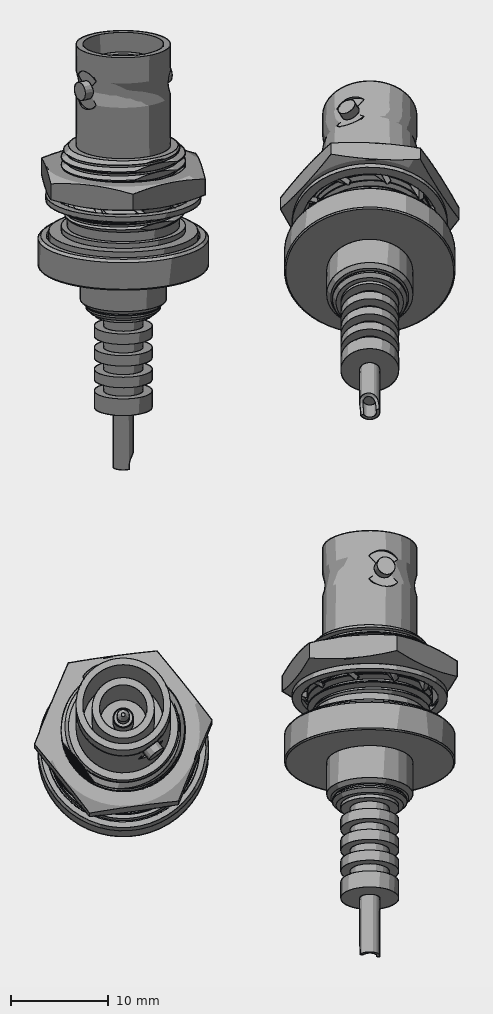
import cadquery as cq


joint_overlap = 0.1

barrel_radius = 9.65 / 2
barrel_bore_radius = 8.26 / 2
socket_floor_z = -9.0
sleeve_radius = 6.35 / 2
sleeve_bore_radius = 4.83 / 2
sleeve_top_z = -1.8

stud_z = -4.08
stud_radius = 1.92 / 2
stud_reach = 5.5
stud_flat_radius = 4.0 / 2
stud_flat_distance = 4.56
groove_width = 2.6
groove_depth = 0.24

contact_radius = 2.08 / 2
contact_shoulder_z = -6.5
contact_edge_chamfer = 0.08
pin_radius = 1.27 / 2
pin_end_radius = 0.2
pin_taper_length = 0.5
pin_top_z = -5.0
contact_bottom_z = -45.16
cup_bore_radius = 1.4 / 2
cup_opening_height = 1.85
cup_corner_radius = 1.5

thread_top_z = -10.78
thread_bottom_z = -18.37
thread_core_radius = 11.49 / 2
thread_radius = 12.7 / 2
thread_pitch = 25.4 / 28
thread_root_width = 0.8
thread_crest_width = 0.12
thread_crest_z = -17.14
thread_top_edge_radius = 5.6
thread_flat_distance = 5.78

shoulder_radius = 12.7 / 2
shoulder_top_z = -19.36
flange_radius = 17.45 / 2
flange_top_z = -20.43
flange_bottom_z = -23.69
flange_top_chamfer = 0.28
flange_bottom_chamfer = 0.14
seal_seat_radius = 15.7 / 2
seal_seat_depth = 0.5

rear_radius = 8.81 / 2
rear_bottom_z = -27.65
rear_chamfer = 0.42
rear_neck_radius = 7.34 / 2
lip_radius = 7.64 / 2
lip_top_z = -27.88
lip_chamfer = 0.38
lip_bottom_z = -28.47
rib_radius = 5.93 / 2
rib_neck_radius = 4.03 / 2
collar_bottom_z = -28.85
first_rib_z = -30.05
rib_width = 1.12
rib_pitch = 2.312
rib_count = 3
end_rib_bottom_z = -38.77

seal_radius = 15.24 / 2
seal_top_z = -19.9

nut_across_corners = 18.33
nut_top_z = -12.87
nut_bottom_z = -15.4
nut_face_radius = 15.7 / 2
nut_corner_drop = 0.42

washer_radius = 15.87 / 2
washer_inner_radius = 7.0
washer_middle_z = -16.33
washer_thickness = 0.55
tooth_count = 10
tooth_first_angle = 18
tooth_tilt = 42
tooth_thickness = 0.5
tooth_width = 2.2
tooth_tip_radius = 6.4
tooth_half_height = 0.86


def revolve_profile(points):
    """Turn a closed (radius, height) outline around the Z axis."""
    return cq.Workplane("XZ").polyline(points).close().revolve(360, (0, 0, 0), (0, 1, 0))


def cylinder(radius, bottom_z, top_z):
    return cq.Workplane("XY").workplane(offset=bottom_z).circle(radius).extrude(top_z - bottom_z)


def make_mating_end():
    """Barrel with the inner sleeve standing on the floor of its socket."""
    barrel = cylinder(barrel_radius, thread_top_z, 0)
    socket = cylinder(barrel_bore_radius, socket_floor_z, 0)
    sleeve = cylinder(sleeve_radius, socket_floor_z, sleeve_top_z)
    sleeve_bore = cylinder(sleeve_bore_radius, socket_floor_z, sleeve_top_z)
    return barrel.cut(socket).union(sleeve).cut(sleeve_bore)


def make_groove():
    """Ring with a circular-arc section, cut around the barrel at stud height."""
    groove = (
        cq.Workplane("XZ")
        .moveTo(barrel_radius, stud_z + groove_width / 2)
        .threePointArc(
            (barrel_radius - groove_depth, stud_z),
            (barrel_radius, stud_z - groove_width / 2),
        )
        .lineTo(barrel_radius + groove_depth, stud_z - groove_width / 2)
        .lineTo(barrel_radius + groove_depth, stud_z + groove_width / 2)
        .close()
    )
    return groove.revolve(360, (0, 0, 0), (0, 1, 0))


def side_cylinder(side, radius, start, end):
    """Cylinder along Y at stud height, on the +Y (side = 1) or -Y (side = -1) half."""
    direction = cq.Vector(0, side, 0)
    return cq.Workplane(
        cq.Solid.makeCylinder(radius, end - start, cq.Vector(0, side * start, stud_z), direction)
    )


def make_thread():
    """Threaded length: helical ridge on a core, chamfered on top, flattened on the +X side."""
    ridge_root_radius = thread_core_radius - joint_overlap
    helix_start_z = thread_crest_z - 2 * thread_pitch
    helix_height = thread_top_z + thread_pitch - helix_start_z
    helix = cq.Wire.makeHelix(
        thread_pitch, helix_height, thread_core_radius, cq.Vector(0, 0, helix_start_z)
    )
    ridge_section = (
        cq.Workplane("XZ")
        .moveTo(ridge_root_radius, helix_start_z - thread_root_width / 2)
        .lineTo(thread_radius, helix_start_z - thread_crest_width / 2)
        .lineTo(thread_radius, helix_start_z + thread_crest_width / 2)
        .lineTo(ridge_root_radius, helix_start_z + thread_root_width / 2)
        .close()
    )
    ridge = ridge_section.sweep(cq.Workplane(helix), isFrenet=True)
    flat_cutter = (
        cq.Workplane("YZ")
        .workplane(offset=thread_flat_distance)
        .center(0, helix_start_z + helix_height / 2)
        .rect(2 * thread_radius, 2 * helix_height)
        .extrude(thread_radius)
    )

    envelope_radius = thread_radius + joint_overlap
    envelope = revolve_profile([
        (0, thread_bottom_z),
        (thread_core_radius, thread_bottom_z),
        (envelope_radius, thread_bottom_z + envelope_radius - thread_core_radius),
        (envelope_radius, thread_top_z - envelope_radius + thread_top_edge_radius),
        (thread_top_edge_radius, thread_top_z),
        (0, thread_top_z),
    ])
    core = revolve_profile([
        (0, thread_bottom_z),
        (thread_core_radius, thread_bottom_z),
        (thread_core_radius, thread_top_z - (thread_core_radius - thread_top_edge_radius)),
        (thread_top_edge_radius, thread_top_z),
        (0, thread_top_z),
    ])
    return core.union(ridge.intersect(envelope).cut(flat_cutter))


def make_flange():
    """Core below the thread, shoulder, and flange with a recess that seats the seal."""
    seat_z = flange_top_z - seal_seat_depth
    return revolve_profile([
        (0, thread_bottom_z),
        (thread_core_radius, thread_bottom_z),
        (thread_core_radius, shoulder_top_z),
        (shoulder_radius, shoulder_top_z),
        (shoulder_radius, seat_z),
        (seal_seat_radius, seat_z),
        (seal_seat_radius, flange_top_z),
        (flange_radius - flange_top_chamfer, flange_top_z),
        (flange_radius, flange_top_z - flange_top_chamfer),
        (flange_radius, flange_bottom_z + flange_bottom_chamfer),
        (flange_radius - flange_bottom_chamfer, flange_bottom_z),
        (0, flange_bottom_z),
    ])


def make_rear():
    """Rear body with its rolled lip, then the ribbed barrel."""
    rear = revolve_profile([
        (0, flange_bottom_z),
        (rear_radius, flange_bottom_z),
        (rear_radius, rear_bottom_z + rear_chamfer),
        (rear_radius - rear_chamfer, rear_bottom_z),
        (rear_neck_radius, rear_bottom_z),
        (rear_neck_radius, lip_top_z),
        (lip_radius, lip_top_z),
        (lip_radius, lip_bottom_z + lip_chamfer),
        (lip_radius - lip_chamfer, lip_bottom_z),
        (0, lip_bottom_z),
    ])
    rear = rear.union(cylinder(rib_radius, collar_bottom_z, lip_bottom_z))
    rear = rear.union(cylinder(rib_neck_radius, end_rib_bottom_z, collar_bottom_z))
    for index in range(rib_count):
        rib_top_z = first_rib_z - index * rib_pitch
        rear = rear.union(cylinder(rib_radius, rib_top_z - rib_width, rib_top_z))
    end_rib_top_z = first_rib_z - rib_count * rib_pitch
    return rear.union(cylinder(rib_radius, end_rib_bottom_z, end_rib_top_z))


def make_contact_front():
    """Shouldered pin standing in the sleeve."""
    return revolve_profile([
        (0, socket_floor_z),
        (contact_radius, socket_floor_z),
        (contact_radius, contact_shoulder_z - contact_edge_chamfer),
        (contact_radius - contact_edge_chamfer, contact_shoulder_z),
        (pin_radius, contact_shoulder_z),
        (pin_radius, pin_top_z - pin_taper_length),
        (pin_end_radius, pin_top_z),
        (0, pin_top_z),
    ])


def make_solder_cup():
    """Rod below the ribs, bored from the end and opened on its +Y half."""
    rod = cylinder(contact_radius, contact_bottom_z, end_rib_bottom_z)
    opening_top_z = contact_bottom_z + cup_opening_height
    opening = (
        cq.Workplane("YZ")
        .moveTo(0, contact_bottom_z)
        .lineTo(0, opening_top_z - cup_corner_radius)
        .radiusArc((cup_corner_radius, opening_top_z), cup_corner_radius)
        .lineTo(2 * cup_corner_radius, opening_top_z)
        .lineTo(2 * cup_corner_radius, contact_bottom_z)
        .close()
        .extrude(2 * contact_radius, both=True)
    )
    bore = cylinder(cup_bore_radius, contact_bottom_z, opening_top_z)
    return rod.cut(opening).cut(bore)


def make_jack():
    """Metal body of the connector together with its centre contact and bayonet studs."""
    jack = make_mating_end().cut(make_groove())
    for side in (1, -1):
        jack = jack.cut(side_cylinder(side, stud_flat_radius, stud_flat_distance, stud_reach))
        jack = jack.union(side_cylinder(side, stud_radius, barrel_bore_radius + joint_overlap, stud_reach))
    sections = [make_thread(), make_flange(), make_rear(), make_contact_front(), make_solder_cup()]
    for section in sections:
        jack = jack.union(section)
    return jack


def make_seal():
    """Flat ring in the flange recess, around the shoulder."""
    seat_z = flange_top_z - seal_seat_depth
    return cylinder(seal_radius, seat_z, seal_top_z).cut(
        cylinder(shoulder_radius, seat_z, seal_top_z)
    )


def make_nut():
    """Hexagonal nut with corners on the Y axis, both faces chamfered by a cone."""
    thickness = nut_top_z - nut_bottom_z
    corner_radius = nut_across_corners / 2
    hexagon = (
        cq.Workplane("XY")
        .workplane(offset=nut_bottom_z)
        .transformed(rotate=(0, 0, 90))
        .polygon(6, nut_across_corners)
        .extrude(thickness)
    )
    chamfer_envelope = revolve_profile([
        (0, nut_bottom_z),
        (nut_face_radius, nut_bottom_z),
        (corner_radius, nut_bottom_z + nut_corner_drop),
        (corner_radius, nut_top_z - nut_corner_drop),
        (nut_face_radius, nut_top_z),
        (0, nut_top_z),
    ])
    return hexagon.intersect(chamfer_envelope).cut(cylinder(thread_radius, nut_bottom_z, nut_top_z))


def make_washer():
    """Flat ring with inner teeth, each a plate tilted about its radial direction."""
    bottom_z = washer_middle_z - washer_thickness / 2
    top_z = washer_middle_z + washer_thickness / 2
    washer = cylinder(washer_radius, bottom_z, top_z).cut(
        cylinder(washer_inner_radius, bottom_z, top_z)
    )
    root_radius = (washer_radius + washer_inner_radius) / 2
    tooth_envelope = revolve_profile([
        (tooth_tip_radius, washer_middle_z - tooth_half_height),
        (washer_inner_radius, bottom_z),
        (root_radius, bottom_z),
        (root_radius, top_z),
        (washer_inner_radius, top_z),
        (tooth_tip_radius, washer_middle_z + tooth_half_height),
    ])
    plate = (
        cq.Workplane("XY")
        .box(root_radius, tooth_width, tooth_thickness, centered=(False, True, True))
        .rotate((0, 0, 0), (1, 0, 0), -tooth_tilt)
        .translate((tooth_tip_radius / 2, 0, washer_middle_z))
    )
    for index in range(tooth_count):
        angle = tooth_first_angle + index * 360 / tooth_count
        tooth = plate.rotate((0, 0, 0), (0, 0, 1), angle).intersect(tooth_envelope)
        washer = washer.union(tooth)
    return washer


jack = make_jack()
seal = make_seal()
nut = make_nut()
washer = make_washer()

result = cq.Compound.makeCompound(
    [*jack.solids().vals(), *seal.solids().vals(), *nut.solids().vals(), *washer.solids().vals()]
)